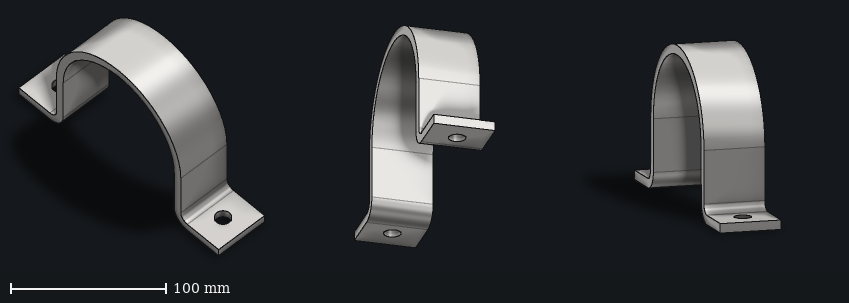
import cadquery as cq

length = 186.5
width = 41.2
height = 105.8
thickness = 6.3
outer_radius = 58.0
bend_radius = 6.2
hole_diameter = 11.2
hole_spacing = 151.6

half_length = length / 2
inner_radius = outer_radius - thickness
outer_bend_radius = bend_radius + thickness
arc_center_z = height - outer_radius
bend_center_x = outer_radius + bend_radius
bend_center_z = thickness + bend_radius


half_strap = (
    cq.Workplane("XZ")
    .moveTo(0, height)
    .radiusArc((outer_radius, arc_center_z), outer_radius)
    .lineTo(outer_radius, bend_center_z)
    .radiusArc((bend_center_x, thickness), -bend_radius)
    .lineTo(half_length, thickness)
    .lineTo(half_length, 0)
    .lineTo(bend_center_x, 0)
    .radiusArc((inner_radius, bend_center_z), outer_bend_radius)
    .lineTo(inner_radius, arc_center_z)
    .radiusArc((0, height - thickness), -inner_radius)
    .close()
    .extrude(width / 2, both=True)
)
strap = half_strap.union(half_strap.mirror("YZ"))

fixing_holes = (
    cq.Workplane("XY")
    .pushPoints([(-hole_spacing / 2, 0), (hole_spacing / 2, 0)])
    .circle(hole_diameter / 2)
    .extrude(thickness)
)
result = strap.cut(fixing_holes)